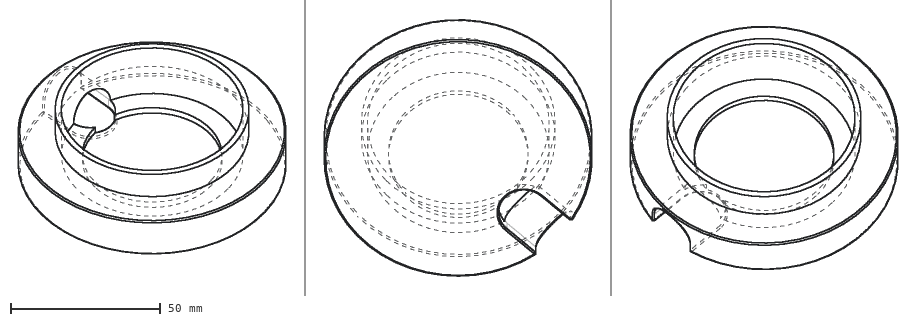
import cadquery as cq
import math

base_diameter = 89.4
base_height = 15.0
rim_diameter = 64.6
rim_height = 10.0
edge_chamfer = 0.5

pocket_diameter = 60.6
pocket_floor = 4.5
recess_diameter = 46.6
recess_floor = 2.1

notch_radius = 8.4
notch_spring_height = pocket_floor
notch_end_center = 30.0

selection_margin = 0.1

total_height = base_height + rim_height
base_radius = base_diameter / 2


def disc(diameter, bottom, top):
    """Cylinder on the main axis between two heights."""
    return cq.Workplane("XY").workplane(offset=bottom).circle(diameter / 2).extrude(top - bottom)


def cable_notch():
    """Arched tunnel from the outside wall, with a round inner end in plan."""
    tunnel = (
        cq.Workplane("YZ", origin=(-base_radius, 0, 0))
        .moveTo(-notch_radius, 0)
        .lineTo(-notch_radius, notch_spring_height)
        .threePointArc((0, notch_spring_height + notch_radius), (notch_radius, notch_spring_height))
        .lineTo(notch_radius, 0)
        .close()
        .extrude(base_radius)
    )
    plan = (
        cq.Workplane("XY")
        .moveTo(-base_radius, -notch_radius)
        .lineTo(-notch_end_center, -notch_radius)
        .threePointArc((-notch_end_center + notch_radius, 0), (-notch_end_center, notch_radius))
        .lineTo(-base_radius, notch_radius)
        .close()
        .extrude(base_height)
    )
    return tunnel.intersect(plan)


def notch_mouth_edges():
    """Selector for the edges where the notch breaks through the outer wall."""
    mouth_depth = base_radius - math.sqrt(base_radius**2 - notch_radius**2)
    half_width = notch_radius + selection_margin
    return cq.selectors.BoxSelector(
        (-base_radius - selection_margin, -half_width, -selection_margin),
        (-base_radius + mouth_depth + selection_margin, half_width, base_height - selection_margin),
        boundingbox=True,
    )


top_and_bottom_edges = cq.StringSyntaxSelector(">Z or <Z")
base = disc(base_diameter, 0, base_height).cut(cable_notch())
base = base.edges(notch_mouth_edges() + top_and_bottom_edges).chamfer(edge_chamfer)

rim = disc(rim_diameter, base_height, total_height)
pocket = disc(pocket_diameter, pocket_floor, total_height)
recess = disc(recess_diameter, recess_floor, pocket_floor)
result = base.union(rim).cut(pocket).cut(recess)